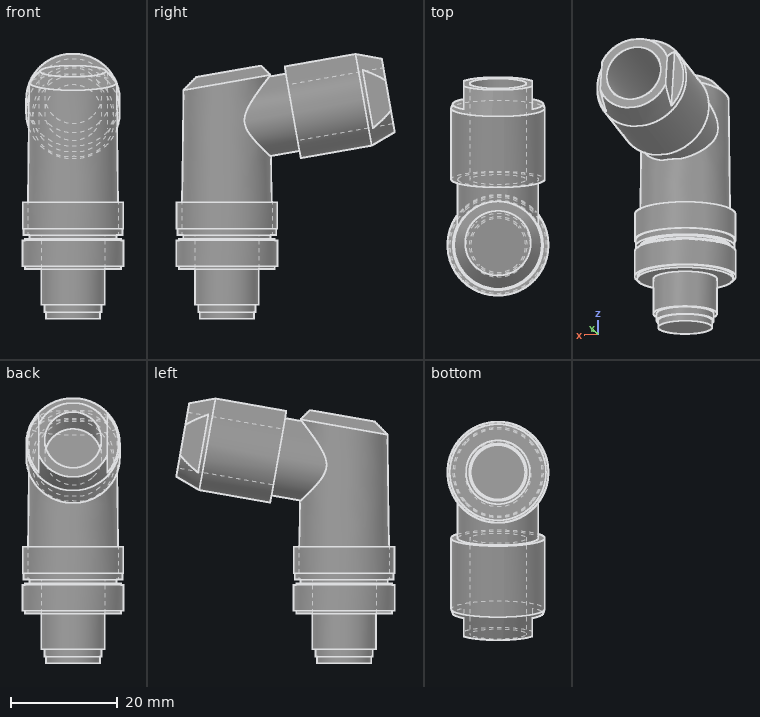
import cadquery as cq
import math

TIP_TOP_Z = 1.3
RELIEF_TOP_Z = 2.65
COUPLING_BOTTOM_Z = 9.35
COUPLING_LOWER_STEP_Z = 9.85
COUPLING_UPPER_STEP_Z = 14.7
COUPLING_TOP_Z = 15.05
COLLAR_BOTTOM_Z = 15.7
COLLAR_STEP_Z = 16.9
COLLAR_TOP_Z = 21.9

TIP_DIAMETER = 10.2
RELIEF_DIAMETER = 10.8
INSERT_DIAMETER = 11.95
COUPLING_DIAMETER = 19.0
COUPLING_STEP_DIAMETER = 18.05
NECK_DIAMETER = 16.4
COLLAR_DIAMETER = 18.9
COLLAR_STEP_DIAMETER = 18.55
UPRIGHT_BOTTOM_DIAMETER = 16.95

TILT = 10.0
CROWN_BASE_Z = 44.3
UPRIGHT_TOP_DIAMETER = 16.4
CROWN_HEIGHT = 2.05
CROWN_TOP_DIAMETER = 12.3
CROWN_TOP_Y = 0.35
ARM_AXIS_Z = 36.55
ARM_DIAMETER = 15.2
ARM_FLATS = 14.75

NUT_START = 12.5
NUT_TAPER_START = 26.0
NUT_END = 30.75
NUT_DIAMETER = 17.65
NUT_FLATS = 17.5
NUT_END_SCALE = 0.8
NUT_BORE_DIAMETER = 10.65
SPANNER_WIDTH = 12.9
SPANNER_START = 26.8

tilt_cos = math.cos(math.radians(TILT))
tilt_sin = math.sin(math.radians(TILT))
arm_direction = cq.Vector(0, tilt_cos, tilt_sin)
crown_normal = cq.Vector(0, -tilt_sin, tilt_cos)


def disc(diameter, bottom, top):
    """Cylinder on the upright axis between two levels."""
    return cq.Workplane("XY").workplane(offset=bottom).circle(diameter / 2).extrude(top - bottom)


def arm_plane(station):
    """Workplane square to the arm axis at a distance along it."""
    origin = cq.Vector(0, 0, ARM_AXIS_Z) + arm_direction * station
    return cq.Workplane(cq.Plane(origin=origin, xDir=(1, 0, 0), normal=arm_direction))


def flatted_circle(plane, diameter, flats):
    """Circle outline with a flat at its top and at its bottom."""
    radius = diameter / 2
    flat_y = flats / 2
    flat_x = math.sqrt(radius**2 - flat_y**2)
    return (
        plane.moveTo(-flat_x, flat_y)
        .lineTo(flat_x, flat_y)
        .threePointArc((radius, 0), (flat_x, -flat_y))
        .lineTo(-flat_x, -flat_y)
        .threePointArc((-radius, 0), (-flat_x, flat_y))
        .close()
    )


def make_insert():
    """Stepped contact insert that carries the neck and coupling rings."""
    tip = disc(TIP_DIAMETER, 0, TIP_TOP_Z)
    relief = disc(RELIEF_DIAMETER, TIP_TOP_Z, RELIEF_TOP_Z)
    barrel = disc(INSERT_DIAMETER, RELIEF_TOP_Z, COLLAR_BOTTOM_Z)
    return tip.union(relief).union(barrel)


def make_coupling_ring():
    """Grip ring with a shallow step at both ends."""
    core = disc(COUPLING_STEP_DIAMETER, COUPLING_BOTTOM_Z, COUPLING_TOP_Z)
    grip = disc(COUPLING_DIAMETER, COUPLING_LOWER_STEP_Z, COUPLING_UPPER_STEP_Z)
    hole = disc(INSERT_DIAMETER, COUPLING_BOTTOM_Z, COUPLING_TOP_Z)
    return core.union(grip).cut(hole)


def make_neck_ring():
    """Thin ring between the coupling ring and the collar."""
    hole = disc(INSERT_DIAMETER, COUPLING_TOP_Z, COLLAR_BOTTOM_Z)
    return disc(NECK_DIAMETER, COUPLING_TOP_Z, COLLAR_BOTTOM_Z).cut(hole)


def make_collar():
    """Collar around the foot of the elbow."""
    lower = disc(COLLAR_STEP_DIAMETER, COLLAR_BOTTOM_Z, COLLAR_STEP_Z)
    upper = disc(COLLAR_DIAMETER, COLLAR_STEP_Z, COLLAR_TOP_Z)
    hole = disc(UPRIGHT_BOTTOM_DIAMETER, COLLAR_BOTTOM_Z, COLLAR_TOP_Z)
    return lower.union(upper).cut(hole)


def make_upright():
    """Slightly tapered column cut off by the sloping crown base plane."""
    foot_radius = UPRIGHT_BOTTOM_DIAMETER / 2
    top_radius = UPRIGHT_TOP_DIAMETER / 2
    taper = (foot_radius - top_radius) / (CROWN_BASE_Z - COLLAR_TOP_Z)
    blank_top_z = CROWN_BASE_Z + CROWN_HEIGHT
    blank_top_radius = foot_radius - taper * (blank_top_z - COLLAR_TOP_Z)
    blank = (
        cq.Workplane("XZ")
        .moveTo(0, COLLAR_BOTTOM_Z)
        .lineTo(foot_radius, COLLAR_BOTTOM_Z)
        .lineTo(foot_radius, COLLAR_TOP_Z)
        .lineTo(blank_top_radius, blank_top_z)
        .lineTo(0, blank_top_z)
        .close()
        .revolve(360, (0, 0, 0), (0, 1, 0))
    )
    base_plane = cq.Plane(origin=(0, 0, CROWN_BASE_Z), xDir=(1, 0, 0), normal=crown_normal)
    above = cq.Workplane(base_plane).circle(UPRIGHT_BOTTOM_DIAMETER).extrude(UPRIGHT_BOTTOM_DIAMETER)
    return blank.cut(above)


def make_crown(upright):
    """Sloping bevel from the cut rim of the upright to the smaller top circle."""
    rim = upright.faces(cq.selectors.DirectionMinMaxSelector(crown_normal, True)).wires().val()
    top_center = cq.Vector(0, 0, CROWN_BASE_Z) + crown_normal * CROWN_HEIGHT
    slope_shift = (CROWN_TOP_Y - top_center.y) / tilt_cos
    top_center = top_center + arm_direction * slope_shift
    top_circle = cq.Wire.makeCircle(CROWN_TOP_DIAMETER / 2, top_center, crown_normal)
    return cq.Workplane(cq.Solid.makeLoft([rim, top_circle], True))


def make_elbow():
    """Upright with its crown and the tilted arm, as one solid."""
    upright = make_upright()
    crown = make_crown(upright)
    arm = flatted_circle(arm_plane(0), ARM_DIAMETER, ARM_FLATS).extrude(NUT_START)
    return upright.union(crown).union(arm)


def make_clamping_nut():
    """Nut at the arm end with a tapered nose, spanner flats and a cable bore."""
    sleeve_length = NUT_TAPER_START - NUT_START
    sleeve = flatted_circle(arm_plane(NUT_START), NUT_DIAMETER, NUT_FLATS).extrude(sleeve_length)
    nose_start = flatted_circle(arm_plane(NUT_TAPER_START), NUT_DIAMETER, NUT_FLATS).wire().val()
    nose_end = flatted_circle(
        arm_plane(NUT_END), NUT_DIAMETER * NUT_END_SCALE, NUT_FLATS * NUT_END_SCALE
    ).wire().val()
    nose = cq.Workplane(cq.Solid.makeLoft([nose_start, nose_end], True))
    spanner_cut = (
        arm_plane(SPANNER_START)
        .rect(2 * NUT_DIAMETER, 2 * NUT_DIAMETER)
        .rect(SPANNER_WIDTH, 2 * NUT_DIAMETER)
        .extrude(NUT_END - SPANNER_START)
    )
    bore = arm_plane(NUT_START).circle(NUT_BORE_DIAMETER / 2).extrude(NUT_END - NUT_START)
    return sleeve.union(nose).cut(spanner_cut).cut(bore)


insert = make_insert()
coupling_ring = make_coupling_ring()
neck_ring = make_neck_ring()
collar = make_collar()
elbow = make_elbow()
clamping_nut = make_clamping_nut()

result = cq.Compound.makeCompound([
    insert.val(),
    coupling_ring.val(),
    neck_ring.val(),
    collar.val(),
    elbow.val(),
    clamping_nut.val(),
])